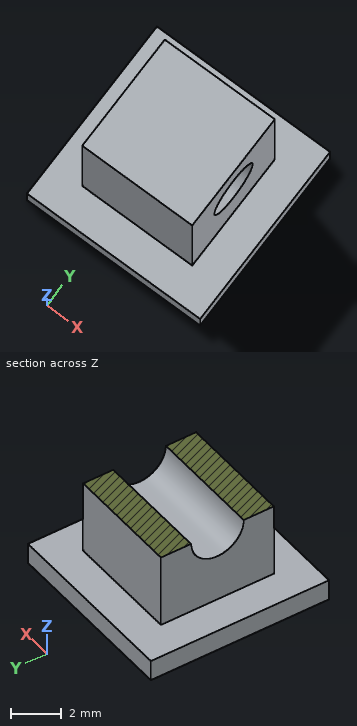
import cadquery as cq

base_side = 8.5
base_thickness = 1.0

block_side = 5.4
total_height = 7.0
block_height = total_height - base_thickness

hole_diameter = 2.5
hole_center_height = 4.5


def make_base():
    return cq.Workplane("XY").rect(base_side, base_side).extrude(base_thickness)


def make_block():
    block = cq.Workplane("XY").workplane(offset=base_thickness)
    return block.rect(block_side, block_side).extrude(block_height)


def make_hole_cutter():
    cutter = cq.Workplane("YZ").center(0, hole_center_height)
    return cutter.circle(hole_diameter / 2).extrude(block_side / 2, both=True)


result = make_base().union(make_block()).cut(make_hole_cutter())